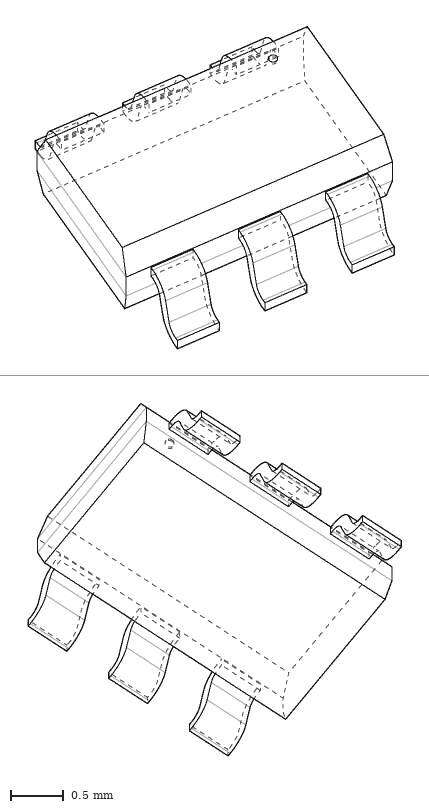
import cadquery as cq
import math

BODY_LENGTH = 2.9
BODY_WIDTH = 1.752
BODY_TOP = 0.99
BODY_BOTTOM = 0.11
WAIST_TOP = 0.69
WAIST_BOTTOM = 0.403
TOP_INSET_X = 0.125
TOP_INSET_Y = 0.025
BOTTOM_INSET_X = 0.075
BOTTOM_INSET_Y = 0.025

LEAD_SPAN = 2.79
LEAD_TOP = 0.673
LEAD_THICKNESS = 0.128
LEAD_WIDTH = 0.458
LEAD_PITCH = 0.95
LEADS_PER_SIDE = 3
BEND_INNER_RADIUS = 0.133
BEND_ANGLE = math.radians(75)

MARKER_DIAMETER = 0.087
MARKER_DEPTH = 0.03
MARKER_X = -0.568
MARKER_Y = LEAD_PITCH


def make_taper(z_wide, z_narrow, inset_x, inset_y):
    """Frustum from the waist outline at z_wide to a smaller rectangle at z_narrow."""
    return (
        cq.Workplane("XY")
        .workplane(offset=z_wide)
        .rect(BODY_WIDTH, BODY_LENGTH)
        .workplane(offset=z_narrow - z_wide)
        .rect(BODY_WIDTH - 2 * inset_x, BODY_LENGTH - 2 * inset_y)
        .loft(ruled=True)
    )


def make_marker():
    return (
        cq.Workplane("XY")
        .workplane(offset=BODY_TOP - MARKER_DEPTH)
        .center(MARKER_X, MARKER_Y)
        .circle(MARKER_DIAMETER / 2)
        .extrude(MARKER_DEPTH)
    )


def make_body(marker):
    """Package body with a recess that the marker fills."""
    waist = (
        cq.Workplane("XY")
        .workplane(offset=WAIST_BOTTOM)
        .rect(BODY_WIDTH, BODY_LENGTH)
        .extrude(WAIST_TOP - WAIST_BOTTOM)
    )
    upper = make_taper(WAIST_TOP, BODY_TOP, TOP_INSET_X, TOP_INSET_Y)
    lower = make_taper(WAIST_BOTTOM, BODY_BOTTOM, BOTTOM_INSET_X, BOTTOM_INSET_Y)
    return waist.union(upper).union(lower).cut(marker)


def point_on_bend(center, radius, angle):
    """Point at an angle measured from +X in the XZ plane."""
    return (center[0] + radius * math.cos(angle), center[1] + radius * math.sin(angle))


def make_lead(y_center):
    """Lead on the -X side: flat shoulder, bend down, sloping leg, bend out, flat toe."""
    inner = BEND_INNER_RADIUS
    outer = inner + LEAD_THICKNESS
    toe_x = -LEAD_SPAN / 2
    root_x = -BODY_WIDTH / 2

    shoulder_z = LEAD_TOP - outer
    foot_z = outer
    bend_sum = inner + outer
    leg_length = (shoulder_z - foot_z + bend_sum * math.cos(BEND_ANGLE)) / math.sin(BEND_ANGLE)
    center_spacing = bend_sum * math.sin(BEND_ANGLE) + leg_length * math.cos(BEND_ANGLE)

    flat_length = (root_x - toe_x - center_spacing) / 2
    shoulder = (root_x - flat_length, shoulder_z)
    foot = (toe_x + flat_length, foot_z)

    up = math.pi / 2
    down = -math.pi / 2
    half_bend = BEND_ANGLE / 2
    profile = (
        cq.Workplane("XZ", origin=(0, y_center + LEAD_WIDTH / 2, 0))
        .moveTo(root_x, LEAD_TOP)
        .lineTo(*point_on_bend(shoulder, outer, up))
        .threePointArc(
            point_on_bend(shoulder, outer, up + half_bend),
            point_on_bend(shoulder, outer, up + BEND_ANGLE),
        )
        .lineTo(*point_on_bend(foot, inner, down + BEND_ANGLE))
        .threePointArc(
            point_on_bend(foot, inner, down + half_bend),
            point_on_bend(foot, inner, down),
        )
        .lineTo(toe_x, LEAD_THICKNESS)
        .lineTo(toe_x, 0)
        .lineTo(*point_on_bend(foot, outer, down))
        .threePointArc(
            point_on_bend(foot, outer, down + half_bend),
            point_on_bend(foot, outer, down + BEND_ANGLE),
        )
        .lineTo(*point_on_bend(shoulder, inner, up + BEND_ANGLE))
        .threePointArc(
            point_on_bend(shoulder, inner, up + half_bend),
            point_on_bend(shoulder, inner, up),
        )
        .lineTo(root_x, LEAD_TOP - LEAD_THICKNESS)
        .close()
    )
    return profile.extrude(LEAD_WIDTH)


marker = make_marker()
body = make_body(marker)

leads = []
for row in range(LEADS_PER_SIDE):
    row_y = (row - (LEADS_PER_SIDE - 1) / 2) * LEAD_PITCH
    left_lead = make_lead(row_y)
    right_lead = left_lead.mirror("YZ")
    leads.append(left_lead.val())
    leads.append(right_lead.val())

result = cq.Compound.makeCompound([body.val(), marker.val(), *leads])